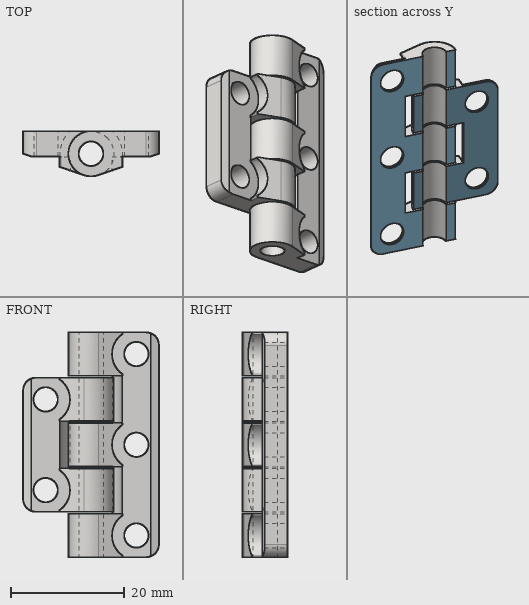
import cadquery as cq
import math

knuckle_pitch = 8.0
knuckle_gap = 0.3
knuckle_length = knuckle_pitch - knuckle_gap
knuckle_radius = 4.0
pin_hole_diameter = 4.3

leaf_reach = 12.0
back_y = knuckle_radius
leaf_thickness = 4.5
front_y = back_y - leaf_thickness
corner_radius = 2.3
bevel_width = 1.5
bevel_depth = 0.5
clearance_radius = 5.5

screw_x = 8.0
screw_hole_diameter = 4.25

slope_angle = math.radians(19)
scallop_radius = 4.3
nose_tip_radius = 0.2

wide_leaf_knuckles = [-2 * knuckle_pitch, 0.0, 2 * knuckle_pitch]
narrow_leaf_knuckles = [-knuckle_pitch, knuckle_pitch]


def cylinder_on_pin_axis(radius, length, center_z):
    """Cylinder on the Z axis, centred at center_z."""
    return cq.Workplane("XY", origin=(0, 0, center_z - length / 2)).circle(radius).extrude(length)


def plate(length):
    """Flat plate from the pin axis out to +X, with rounded corners and a bevelled front edge."""
    body = (
        cq.Workplane("XY", origin=(0, 0, -length / 2))
        .moveTo(0, back_y)
        .lineTo(leaf_reach, back_y)
        .lineTo(leaf_reach, front_y + bevel_depth)
        .lineTo(leaf_reach - bevel_width, front_y)
        .lineTo(0, front_y)
        .close()
        .extrude(length)
    )
    rounded_outline = (
        cq.Workplane("XZ", origin=(0, back_y, 0))
        .rect(2 * leaf_reach, length)
        .extrude(leaf_thickness)
        .edges("|Y")
        .fillet(corner_radius)
    )
    return body.intersect(rounded_outline)


def knuckle(center_z):
    """Knuckle with its tangent nose, which ends in a scallop concentric with the screw hole."""
    barrel = cylinder_on_pin_axis(knuckle_radius, knuckle_length, center_z)
    tangent_x = knuckle_radius * math.sin(slope_angle)
    tangent_y = -knuckle_radius * math.cos(slope_angle)
    slope_end_y = tangent_y + (screw_x - tangent_x) * math.tan(slope_angle)
    nose = (
        cq.Workplane("XY", origin=(0, 0, center_z - knuckle_length / 2))
        .moveTo(0, front_y)
        .lineTo(0, 0)
        .lineTo(tangent_x, tangent_y)
        .lineTo(screw_x, slope_end_y)
        .lineTo(screw_x, front_y)
        .close()
        .extrude(knuckle_length)
    )
    scallop = (
        cq.Workplane("XZ", origin=(screw_x, front_y, center_z))
        .circle(scallop_radius)
        .extrude(knuckle_radius)
    )
    scalloped_nose = nose.cut(scallop).edges("|Y").edges(">X").fillet(nose_tip_radius)
    return barrel.cut(scallop).union(scalloped_nose)


def leaf(knuckle_centers):
    """Hinge leaf reaching out to +X, with a knuckle and a screw hole at each given height."""
    length = knuckle_centers[-1] - knuckle_centers[0] + knuckle_length
    body = plate(length)

    window_length = knuckle_pitch + knuckle_gap
    for lower, upper in zip(knuckle_centers, knuckle_centers[1:]):
        body = body.cut(cylinder_on_pin_axis(clearance_radius, window_length, (lower + upper) / 2))

    for center_z in knuckle_centers:
        body = body.union(knuckle(center_z))

    for center_z in knuckle_centers:
        screw_hole = (
            cq.Workplane("XZ", origin=(screw_x, back_y, center_z))
            .circle(screw_hole_diameter / 2)
            .extrude(leaf_thickness)
        )
        body = body.cut(screw_hole)

    return body.cut(cylinder_on_pin_axis(pin_hole_diameter / 2, length, 0))


wide_leaf = leaf(wide_leaf_knuckles)
narrow_leaf = leaf(narrow_leaf_knuckles).mirror("YZ")

result = cq.Compound.makeCompound([wide_leaf.val(), narrow_leaf.val()])